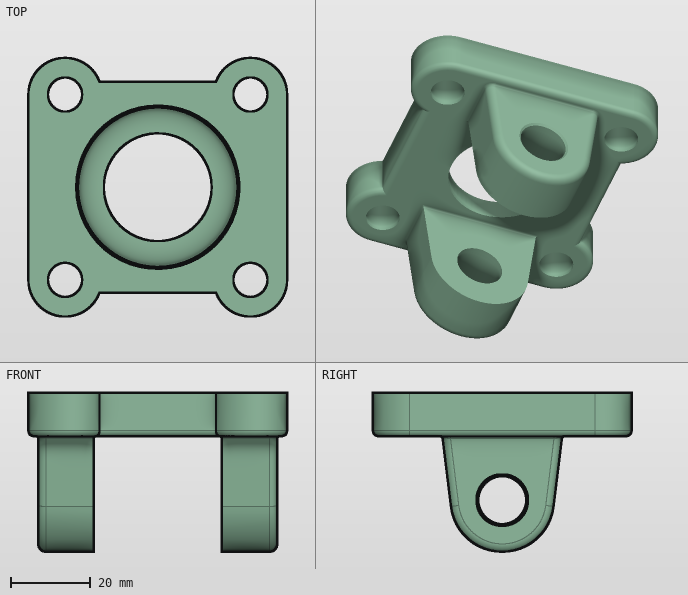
import cadquery as cq
import math

flange_width = 65.0
flange_thickness = 11.0
waist_depth = 53.0
bolt_pitch = 46.5
bolt_hole_diameter = 8.5
lobe_radius = (flange_width - bolt_pitch) / 2
flange_edge_radius = 1.5

bore_diameter = 27.0
counterbore_diameter = 40.0
counterbore_depth = 5.5
counterbore_chamfer = 0.5

ear_outer_spacing = 60.0
ear_gap = 32.0
ear_thickness = (ear_outer_spacing - ear_gap) / 2
ear_tip_radius = 13.0
ear_taper_angle = math.radians(7.0)
ear_edge_radius = 2.0
ear_root_radius = 0.5

pin_depth = 27.0
pin_hole_diameter = 12.0
pin_hole_chamfer = 0.5


def make_flange():
    """Plate with straight sides along Y, four corner lobes and a rounded lower rim."""
    side = flange_width / 2
    bolt = bolt_pitch / 2
    waist = waist_depth / 2
    waist_end = bolt - math.sqrt(lobe_radius**2 - (waist - bolt) ** 2)
    lobe_end = bolt + lobe_radius
    outline = (
        cq.Workplane("XY", origin=(0, 0, -flange_thickness))
        .moveTo(side, -bolt)
        .lineTo(side, bolt)
        .threePointArc((bolt, lobe_end), (waist_end, waist))
        .lineTo(-waist_end, waist)
        .threePointArc((-bolt, lobe_end), (-side, bolt))
        .lineTo(-side, -bolt)
        .threePointArc((-bolt, -lobe_end), (-waist_end, -waist))
        .lineTo(waist_end, -waist)
        .threePointArc((bolt, -lobe_end), (side, -bolt))
        .close()
    )
    return outline.extrude(flange_thickness).faces("<Z").edges().fillet(flange_edge_radius)


def make_ear():
    """Ear on the +X side: tapered sides tangent to the round tip, outer edge rounded."""
    pin_z = -pin_depth
    tangent_y = ear_tip_radius * math.cos(ear_taper_angle)
    tangent_z = pin_z - ear_tip_radius * math.sin(ear_taper_angle)
    top_z = -flange_thickness / 2
    top_y = tangent_y + (top_z - tangent_z) * math.tan(ear_taper_angle)
    ear = (
        cq.Workplane("YZ", origin=(ear_gap / 2, 0, 0))
        .moveTo(-top_y, top_z)
        .lineTo(-tangent_y, tangent_z)
        .threePointArc((0, pin_z - ear_tip_radius), (tangent_y, tangent_z))
        .lineTo(top_y, top_z)
        .close()
        .extrude(ear_thickness)
    )
    return ear.faces(">X").edges("not(>Z)").fillet(ear_edge_radius)


def fillet_ear_roots(body):
    """Small fillets where the ears meet the underside of the flange."""
    underside = body.faces(cq.selectors.NearestToPointSelector((0, 0, -flange_thickness))).val()
    root_edges = [edge for wire in underside.innerWires() for edge in wire.Edges()]
    return body.newObject(root_edges).fillet(ear_root_radius)


def cut_bolt_holes(body):
    """Four plain through holes, concentric with the lobes."""
    holes = (
        cq.Workplane("XY")
        .rect(bolt_pitch, bolt_pitch, forConstruction=True)
        .vertices()
        .circle(bolt_hole_diameter / 2)
        .extrude(-flange_thickness)
    )
    return body.cut(holes)


def rim_cone(radius, chamfer, center, inward):
    """Cutter that chamfers the rim of a round hole; inward points into the hole."""
    cone = cq.Solid.makeCone(radius + chamfer, radius, chamfer, pnt=cq.Vector(center), dir=cq.Vector(inward))
    return cq.Workplane(cone)


def cut_bore(body):
    """Through bore with a counterbore chamfered at the top face."""
    counterbore_radius = counterbore_diameter / 2
    bore = cq.Workplane("XY").circle(bore_diameter / 2).extrude(-flange_thickness)
    counterbore = cq.Workplane("XY").circle(counterbore_radius).extrude(-counterbore_depth)
    rim = rim_cone(counterbore_radius, counterbore_chamfer, (0, 0, 0), (0, 0, -1))
    return body.cut(bore).cut(counterbore).cut(rim)


def cut_pin_hole(ear):
    """Pin hole through the +X ear, chamfered on the outer face."""
    center = (ear_outer_spacing / 2, 0, -pin_depth)
    pin_hole_radius = pin_hole_diameter / 2
    hole = cq.Workplane("YZ", origin=center).circle(pin_hole_radius).extrude(-ear_thickness)
    rim = rim_cone(pin_hole_radius, pin_hole_chamfer, center, (-1, 0, 0))
    return ear.cut(hole).cut(rim)


right_ear = cut_pin_hole(make_ear())
left_ear = right_ear.mirror("YZ")

body = make_flange().union(right_ear).union(left_ear)
body = fillet_ear_roots(body)
body = cut_bolt_holes(body)
result = cut_bore(body)